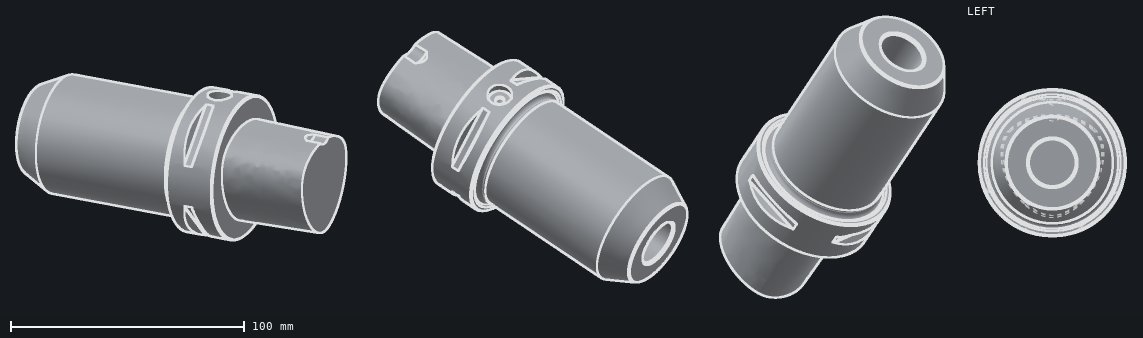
import cadquery as cq
import math

total_length = 138.0
nose_cone_end = 12.8
body_end = 74.8
relief_end = 76.2
flange_start = 78.0
flange_end = 100.0

nose_radius = 20.0
nose_chamfer = 0.5
body_radius = 52.0 / 2
relief_radius = 51.8 / 2

flange_radius = 63.0 / 2
flange_chamfer = 0.5
undercut_fillet = 2.3
undercut_rim_radius = 29.3

bore_radius = 20.0 / 2
bore_depth = 51.0
entry_radius = 20.5 / 2
entry_depth = 0.8
bore_chamfer = 0.5

shank_radius = 22.1
shank_taper = 1 / 20
lobe_height = 1.4
lobe_count = 3
shank_point_count = 48

slot_x = 87.9
slot_count = 4
slot_floor_distance = 27.9
slot_floor_width = 3.6
slot_wall_height = 0.4
slot_flank_angle = 30.0
screw_hole_radius = 10.5 / 2
screw_hole_depth = 4.4
screw_face_radius = 10.0 / 2
socket_radius = 4.0 / 2
socket_depth = 1.4
drill_point_angle = 118.0

notch_width = 8.0
notch_depth = 1.8
notch_cone_start = 131.5
notch_tip = 129.3


def revolve_about_x(profile):
    return profile.close().revolve(360, (0, 0, 0), (1, 0, 0))


def make_body():
    """Nose, body and flange, turned around X."""
    fillet_center_radius = relief_radius + undercut_fillet
    fillet_end_x = relief_end + undercut_fillet
    fillet_mid_offset = undercut_fillet * math.sqrt(0.5)
    fillet_mid = (relief_end + fillet_mid_offset, fillet_center_radius - fillet_mid_offset)
    relief_step = body_radius - relief_radius
    profile = (
        cq.Workplane("XY")
        .lineTo(0, nose_radius - nose_chamfer)
        .lineTo(nose_chamfer, nose_radius)
        .lineTo(nose_cone_end, body_radius)
        .lineTo(body_end - relief_step, body_radius)
        .lineTo(body_end, relief_radius)
        .lineTo(relief_end, relief_radius)
        .threePointArc(fillet_mid, (fillet_end_x, fillet_center_radius))
        .lineTo(flange_start, undercut_rim_radius)
        .lineTo(flange_start, flange_radius - flange_chamfer)
        .lineTo(flange_start + flange_chamfer, flange_radius)
        .lineTo(flange_end - flange_chamfer, flange_radius)
        .lineTo(flange_end, flange_radius - flange_chamfer)
        .lineTo(flange_end, 0)
    )
    return revolve_about_x(profile)


def polygon_section(x, mean_radius):
    """Constant-width three-lobed wire, with one lobe pointing to -Z."""
    points = []
    for i in range(shank_point_count):
        angle = 2 * math.pi * i / shank_point_count
        support = mean_radius + lobe_height * math.cos(lobe_count * angle)
        slope = -lobe_count * lobe_height * math.sin(lobe_count * angle)
        y = support * math.sin(angle) + slope * math.cos(angle)
        z = -support * math.cos(angle) + slope * math.sin(angle)
        points.append(cq.Vector(x, y, z))
    return cq.Wire.assembleEdges([cq.Edge.makeSpline(points, periodic=True)])


def make_shank():
    end_radius = shank_radius - (total_length - flange_end) * shank_taper / 2
    sections = [polygon_section(flange_end, shank_radius), polygon_section(total_length, end_radius)]
    return cq.Workplane(cq.Solid.makeLoft(sections, True))


def make_bore():
    profile = (
        cq.Workplane("XY")
        .lineTo(0, entry_radius + bore_chamfer)
        .lineTo(bore_chamfer, entry_radius)
        .lineTo(entry_depth, entry_radius)
        .lineTo(entry_depth, bore_radius)
        .lineTo(bore_depth, bore_radius)
        .lineTo(bore_depth, 0)
    )
    return revolve_about_x(profile)


def make_slot(angle):
    """Flared slot with a flat floor and low upright walls, running straight across the flange."""
    wall_top = slot_floor_distance + slot_wall_height
    floor_half = slot_floor_width / 2
    mouth_half = floor_half + (flange_radius - wall_top) * math.tan(math.radians(slot_flank_angle))
    slot = (
        cq.Workplane("XZ")
        .moveTo(slot_x - floor_half, slot_floor_distance)
        .lineTo(slot_x + floor_half, slot_floor_distance)
        .lineTo(slot_x + floor_half, wall_top)
        .lineTo(slot_x + mouth_half, flange_radius)
        .lineTo(slot_x - mouth_half, flange_radius)
        .lineTo(slot_x - floor_half, wall_top)
        .close()
        .extrude(flange_radius, both=True)
    )
    return slot.rotate((0, 0, 0), (1, 0, 0), angle)


def make_screw_hole():
    """Hole down to a set screw with a beveled rim and a drilled center."""
    bevel = screw_hole_radius - screw_face_radius
    face_z = flange_radius - screw_hole_depth
    socket_z = face_z - socket_depth
    tip_z = socket_z - socket_radius / math.tan(math.radians(drill_point_angle / 2))
    return (
        cq.Workplane("XZ")
        .moveTo(0, tip_z)
        .lineTo(socket_radius, socket_z)
        .lineTo(socket_radius, face_z)
        .lineTo(screw_face_radius, face_z)
        .lineTo(screw_hole_radius, face_z - bevel)
        .lineTo(screw_hole_radius, flange_radius)
        .lineTo(0, flange_radius)
        .close()
        .revolve(360, (0, 0, 0), (0, 1, 0))
        .translate((slot_x, 0, 0))
    )


def make_drive_notch():
    """Round-bottomed notch with a conical front end, open at the rear."""
    end_radius = shank_radius - (total_length - flange_end) * shank_taper / 2
    surface_z = end_radius - lobe_height
    cutter_radius = ((notch_width / 2) ** 2 + notch_depth**2) / (2 * notch_depth)
    axis_z = surface_z - notch_depth + cutter_radius
    tip_radius = cutter_radius - notch_depth
    profile = (
        cq.Workplane("XY")
        .moveTo(notch_tip, 0)
        .lineTo(notch_tip, tip_radius)
        .lineTo(notch_cone_start, cutter_radius)
        .lineTo(total_length, cutter_radius)
        .lineTo(total_length, 0)
    )
    return revolve_about_x(profile).translate((0, 0, axis_z))


result = make_body().union(make_shank()).cut(make_bore())
for index in range(slot_count):
    result = result.cut(make_slot((index + 0.5) * 360 / slot_count))
result = result.cut(make_screw_hole()).cut(make_drive_notch())